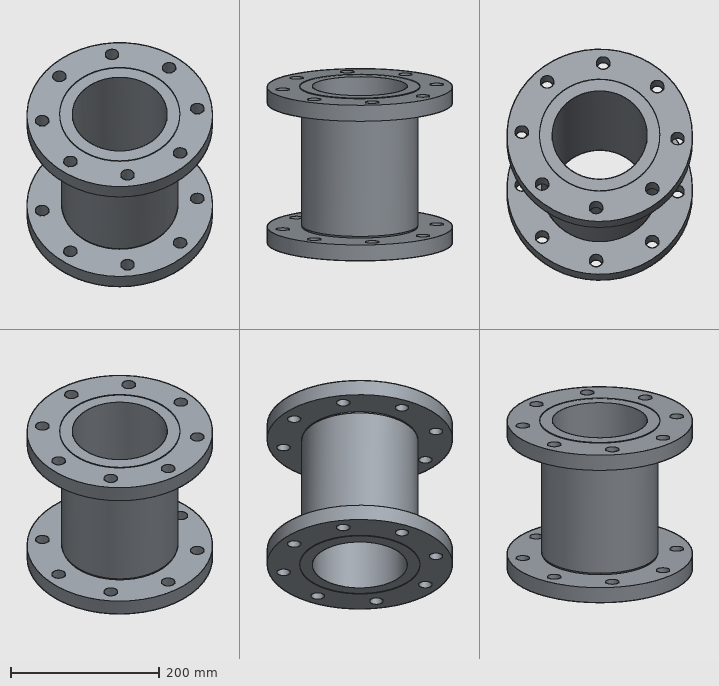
import cadquery as cq

total_length = 216.0
bore_diameter = 128.0

flange_diameter = 250.0
flange_thickness = 22.0
raised_face_diameter = 162.0
raised_face_height = 1.0

barrel_diameter = 157.5
barrel_chamfer_length = 2.5
barrel_chamfer_depth = 1.0

bolt_count = 8
bolt_circle_diameter = 210.0
bolt_hole_diameter = 18.0
bolt_start_angle = 360.0 / bolt_count / 2

end_z = total_length / 2
flange_outer_z = end_z - raised_face_height
flange_inner_z = flange_outer_z - flange_thickness


def make_barrel():
    """Solid barrel whose ends narrow slightly where they meet the flanges."""
    radius = barrel_diameter / 2
    end_radius = radius - barrel_chamfer_depth
    chamfer_start_z = flange_inner_z - barrel_chamfer_length
    return (
        cq.Workplane("XZ")
        .moveTo(0, -flange_inner_z)
        .lineTo(end_radius, -flange_inner_z)
        .lineTo(radius, -chamfer_start_z)
        .lineTo(radius, chamfer_start_z)
        .lineTo(end_radius, flange_inner_z)
        .lineTo(0, flange_inner_z)
        .close()
        .revolve(360, (0, 0, 0), (0, 1, 0))
    )


def make_top_flange():
    """Flange disc with a raised sealing face and a ring of bolt holes."""
    disc = (
        cq.Workplane("XY", origin=(0, 0, flange_inner_z))
        .circle(flange_diameter / 2)
        .extrude(flange_thickness)
    )
    raised_face = (
        cq.Workplane("XY", origin=(0, 0, flange_outer_z))
        .circle(raised_face_diameter / 2)
        .extrude(raised_face_height)
    )
    bolt_holes = (
        cq.Workplane("XY", origin=(0, 0, flange_inner_z))
        .polarArray(bolt_circle_diameter / 2, bolt_start_angle, 360, bolt_count)
        .circle(bolt_hole_diameter / 2)
        .extrude(flange_thickness)
    )
    return disc.union(raised_face).cut(bolt_holes)


def make_bore():
    """Straight bore through the full length."""
    return (
        cq.Workplane("XY", origin=(0, 0, -end_z))
        .circle(bore_diameter / 2)
        .extrude(total_length)
    )


top_flange = make_top_flange()
bottom_flange = top_flange.mirror("XY")
result = make_barrel().union(top_flange).union(bottom_flange).cut(make_bore())